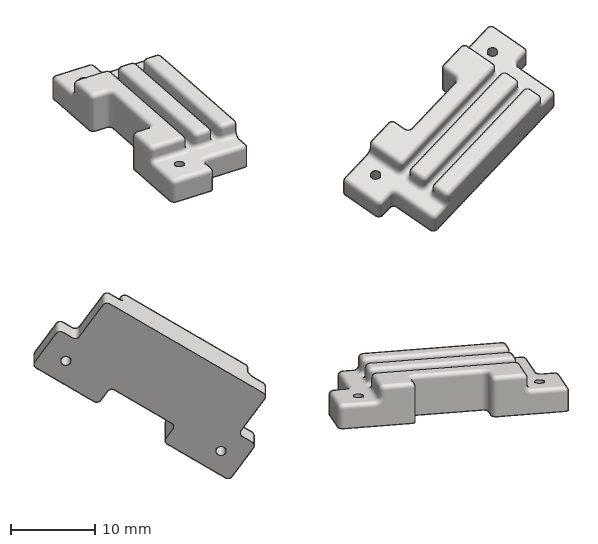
import cadquery as cq

length = 28.0
depth = 12.0
height = 5.0
plate_height = 3.0
edge_radius = 0.6

ear_depth = 5.77
ear_step = 2.52
hole_diameter = 1.2
hole_from_end = 3.0
hole_from_front = 2.75

rail_end_inset = 5.0
rail_length = length - 2 * rail_end_inset
back_rail_width = 2.45
middle_rail_width = 2.45
groove_width = 1.05

notch_width = 9.25
notch_depth = 2.63

front = -depth / 2
back = depth / 2
back_rail_front = back - back_rail_width
middle_rail_back = back_rail_front - groove_width
middle_rail_front = middle_rail_back - middle_rail_width
front_rail_back = middle_rail_front - groove_width


def block(width, y_front, y_back, z_top):
    """Box centred on X, standing on the bottom plane."""
    size_y = y_back - y_front
    return (
        cq.Workplane("XY")
        .box(width, size_y, z_top, centered=(True, True, False))
        .translate((0, (y_front + y_back) / 2, 0))
    )


def rounded_plate_with_rail(y_front, y_back):
    """Plate carrying one rail, with every edge above the bottom face rounded.

    The concave foot of the rail gets the same radius as the outer edges.
    """
    plate = block(length - 2 * ear_step, front, back, plate_height)
    ears = block(length, front, front + ear_depth, plate_height)
    rail = block(rail_length, y_front, y_back, height)
    notch = block(notch_width, front, front + notch_depth, height)
    body = plate.union(ears).union(rail).cut(notch)
    return body.edges("not <Z").fillet(edge_radius)


result = (
    rounded_plate_with_rail(front, front_rail_back)
    .union(rounded_plate_with_rail(middle_rail_front, middle_rail_back))
    .union(rounded_plate_with_rail(back_rail_front, back))
)

hole_x = length / 2 - hole_from_end
hole_y = front + hole_from_front
holes = (
    cq.Workplane("XY")
    .pushPoints([(-hole_x, hole_y), (hole_x, hole_y)])
    .circle(hole_diameter / 2)
    .extrude(height)
)
result = result.cut(holes)